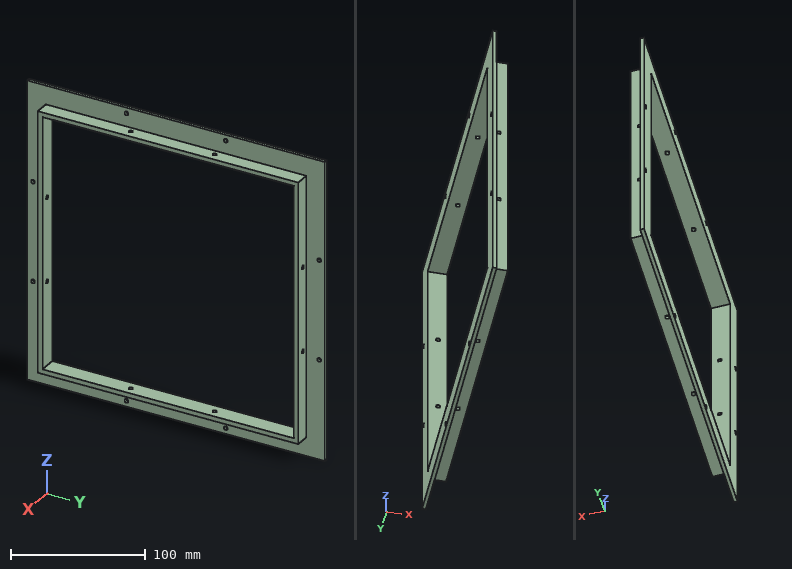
import cadquery as cq

FLANGE_SIZE = 254.4
FLANGE_THICKNESS = 3.0
FRAME_DEPTH = 15.0
COLLAR_SIZE = 222.4
COLLAR_WALL = 4.0
HOLE_DIAMETER = 3.0
FLANGE_HOLE_INSET = 5.0
COLLAR_HOLE_X = 8.0

OPENING_SIZE = COLLAR_SIZE - 2 * COLLAR_WALL
FLANGE_HOLE_OFFSET = FLANGE_SIZE / 2 - FLANGE_HOLE_INSET
FLANGE_HOLE_SPACING = FLANGE_SIZE / 3
COLLAR_HOLE_SPACING = OPENING_SIZE / 3


def square_block(side, depth):
    """Square block centred on the X axis, reaching from X = 0 to X = depth."""
    return cq.Workplane("YZ").rect(side, side).extrude(depth)


def make_frame():
    """Flange with a collar behind it and a square opening through both."""
    flange = square_block(FLANGE_SIZE, FLANGE_THICKNESS)
    collar = square_block(COLLAR_SIZE, FRAME_DEPTH)
    return flange.union(collar).cut(square_block(OPENING_SIZE, FRAME_DEPTH))


def drill_flange(frame):
    """Two holes through each side of the flange, along X."""
    centres = []
    for edge in (-FLANGE_HOLE_OFFSET, FLANGE_HOLE_OFFSET):
        for along in (-FLANGE_HOLE_SPACING / 2, FLANGE_HOLE_SPACING / 2):
            centres += [(edge, along), (along, edge)]
    holes = cq.Workplane("YZ").pushPoints(centres).circle(HOLE_DIAMETER / 2).extrude(FLANGE_THICKNESS)
    return frame.cut(holes)


def drill_collar(frame):
    """Two holes through each collar wall; each drill crosses two opposite walls."""
    centres = [(COLLAR_HOLE_X, side * COLLAR_HOLE_SPACING / 2) for side in (-1, 1)]
    for plane in ("XY", "XZ"):
        drills = cq.Workplane(plane).pushPoints(centres).circle(HOLE_DIAMETER / 2)
        frame = frame.cut(drills.extrude(COLLAR_SIZE / 2, both=True))
    return frame


result = drill_collar(drill_flange(make_frame()))